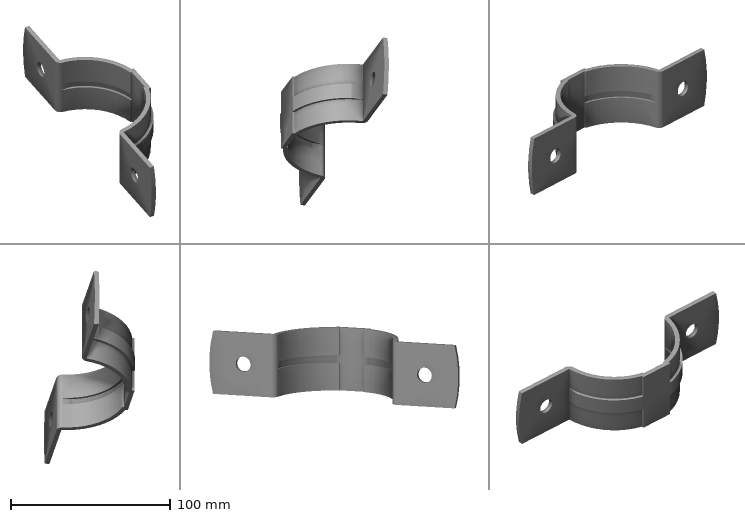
import cadquery as cq
import math

length = 164.5
height = 40.0
depth = 39.5
thickness = 3.0

axis_y = -1.6
saddle_outer_radius = 41.1
saddle_inner_radius = saddle_outer_radius - thickness
bend_radius = 4.0

crown_outer_width = 22.0
crown_inner_width = 16.5

rib_height = 10.0
rib_radius = 43.0
rib_half_width = 41.1
groove_height = 4.6
groove_radius = 39.7
groove_half_width = rib_half_width - thickness

end_bulge = 2.5
hole_diameter = 9.7
hole_spacing = 119.8


def block(width, y_min, y_max, block_height):
    """Box centred on X and Z that spans y_min to y_max."""
    box = cq.Workplane("XY").box(width, y_max - y_min, block_height)
    return box.translate((0, (y_min + y_max) / 2, 0))


def cylinder(radius, cylinder_height):
    """Cylinder on the saddle axis, centred on Z."""
    disc = cq.Workplane("XY").center(0, axis_y).circle(radius)
    return disc.extrude(cylinder_height / 2, both=True)


def make_flanges():
    """Flat plate with bowed ends and two fixing holes."""
    corner_x = length / 2 - end_bulge
    half_height = height / 2
    plate = (
        cq.Workplane("XZ")
        .moveTo(-corner_x, -half_height)
        .lineTo(corner_x, -half_height)
        .threePointArc((length / 2, 0), (corner_x, half_height))
        .lineTo(-corner_x, half_height)
        .threePointArc((-length / 2, 0), (-corner_x, -half_height))
        .close()
        .extrude(-thickness)
    )
    holes = (
        cq.Workplane("XZ")
        .pushPoints([(-hole_spacing / 2, 0), (hole_spacing / 2, 0)])
        .circle(hole_diameter / 2)
        .extrude(-thickness)
    )
    return plate.cut(holes)


def make_strap():
    """Flanges and saddle joined by rounded front bends."""
    saddle = cylinder(saddle_outer_radius, height).intersect(
        block(length, 0, depth, height)
    )
    strap = make_flanges().union(saddle).cut(cylinder(saddle_inner_radius, height))
    mouth_x = math.sqrt(saddle_inner_radius**2 - axis_y**2)
    for x in (-mouth_x, mouth_x):
        bend_edge = cq.selectors.NearestToPointSelector((x, 0, 0))
        strap = strap.edges("|Z").edges(bend_edge).fillet(bend_radius)
    return strap


def make_rib():
    """Raised band, flat at the back and straight at its sides."""
    envelope = block(2 * rib_half_width, thickness, depth, rib_height)
    return cylinder(rib_radius, rib_height).intersect(envelope).cut(
        cylinder(saddle_inner_radius, rib_height)
    )


def make_groove():
    """Shallow channel behind the rib, stopping at the flat crown."""
    envelope = block(2 * groove_half_width, thickness, depth - thickness, groove_height)
    return cylinder(groove_radius, groove_height).intersect(envelope)


crown_pad = block(crown_outer_width, depth - thickness, depth, height)
crown_relief = block(crown_inner_width, 0, depth - thickness, height)
result = make_strap().union(crown_pad).union(make_rib()).cut(crown_relief).cut(make_groove())